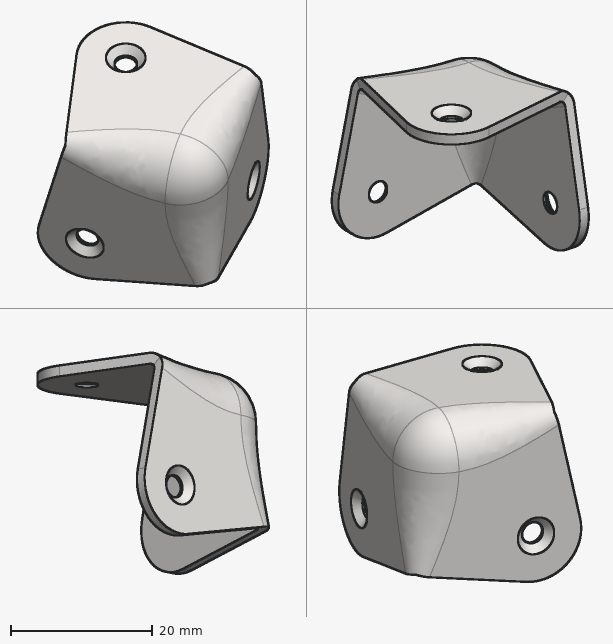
import cadquery as cq
import math

size = 26.0
thickness = 1.6
lobe_radius = 7.0
fold_end = 22.0
hole_diameter = 3.2
sink_diameter = 5.6
sink_angle = 90.0

corner_radius = 7.1
taper_end = 24.0
taper_end_radius = 1.9
taper_end_slope = -0.44
taper_sections = 7

lobe_center = size - lobe_radius
leg_overlap = 0.5
leg_width = corner_radius + leg_overlap
diagonal = math.cos(math.pi / 4)


def bend_radius(along):
    """Outer bend radius: a cubic that leaves the corner level and ends at a set slope."""
    length = taper_end - corner_radius
    s = (along - corner_radius) / length
    drop = (corner_radius - taper_end_radius) * (3 * s**2 - 2 * s**3)
    return corner_radius - drop + taper_end_slope * length * (s**3 - s**2)


def plate_blank(height):
    """Kite with a rounded tip, on the XY plane, extruded upwards."""
    reach = math.hypot(fold_end - lobe_center, lobe_center)
    to_fold_end = math.atan2(-lobe_center, fold_end - lobe_center)
    touch = to_fold_end + math.acos(lobe_radius / reach)
    touch_x = lobe_center + lobe_radius * math.cos(touch)
    touch_y = lobe_center + lobe_radius * math.sin(touch)
    tip = lobe_center + lobe_radius * diagonal
    return (
        cq.Workplane("XY")
        .lineTo(fold_end, 0)
        .lineTo(touch_x, touch_y)
        .threePointArc((tip, tip), (touch_y, touch_x))
        .lineTo(0, fold_end)
        .close()
        .extrude(height)
    )


def fold_section(along):
    """Bent strip of constant thickness, in the plane X = along."""
    outer = bend_radius(along)
    inner = outer - thickness
    outer_mid = outer * (1 - diagonal)
    inner_mid = outer - inner * diagonal
    return (
        cq.Workplane("YZ", origin=(along, 0, 0))
        .moveTo(leg_width, 0)
        .lineTo(outer, 0)
        .threePointArc((outer_mid, outer_mid), (0, outer))
        .lineTo(0, leg_width)
        .lineTo(thickness, leg_width)
        .lineTo(thickness, outer)
        .threePointArc((inner_mid, inner_mid), (outer, thickness))
        .lineTo(leg_width, thickness)
        .close()
        .val()
    )


def fold():
    """Tapering fold along the X axis."""
    step = (taper_end - corner_radius) / (taper_sections - 1)
    sections = [fold_section(corner_radius + i * step) for i in range(taper_sections)]
    return cq.Workplane(cq.Solid.makeLoft(sections))


def flat_plate():
    """Flat part of the plate on the XY plane, clear of both folds."""
    flat = size - corner_radius
    return (
        cq.Workplane("XY")
        .box(flat, flat, thickness, centered=False)
        .translate((corner_radius, corner_radius, 0))
    )


def ball_corner():
    """One eighth of a hollow ball joining the three folds."""
    outer = corner_radius
    inner = corner_radius - thickness
    return (
        cq.Workplane("XZ", origin=(corner_radius, corner_radius, corner_radius))
        .moveTo(-outer, 0)
        .threePointArc((-outer * diagonal, -outer * diagonal), (0, -outer))
        .lineTo(0, -inner)
        .threePointArc((-inner * diagonal, -inner * diagonal), (-inner, 0))
        .close()
        .revolve(90, (0, 0), (0, 1))
    )


def countersunk_hole():
    """Cutter for the plate on the XY plane, sunk from the outer face at Z = 0."""
    hole_radius = hole_diameter / 2
    sink_radius = sink_diameter / 2
    sink_depth = (sink_radius - hole_radius) / math.tan(math.radians(sink_angle / 2))
    return (
        cq.Workplane("XZ")
        .lineTo(sink_radius, 0)
        .lineTo(hole_radius, sink_depth)
        .lineTo(hole_radius, thickness)
        .lineTo(0, thickness)
        .close()
        .revolve(360, (0, 0), (0, 1))
        .translate((lobe_center, lobe_center, 0))
    )


def on_each_plate(shape):
    """The shape and its two copies turned about the corner's space diagonal."""
    copies = [shape.rotate((0, 0, 0), (1, 1, 1), angle) for angle in (0, 120, 240)]
    return copies[0].union(copies[1]).union(copies[2])


shell = on_each_plate(flat_plate()).union(on_each_plate(fold())).union(ball_corner())
trim = on_each_plate(plate_blank(corner_radius))
bracket = shell.intersect(trim).cut(on_each_plate(countersunk_hole()))

result = bracket.rotate((0, 0, 0), (0, 1, 0), 180)